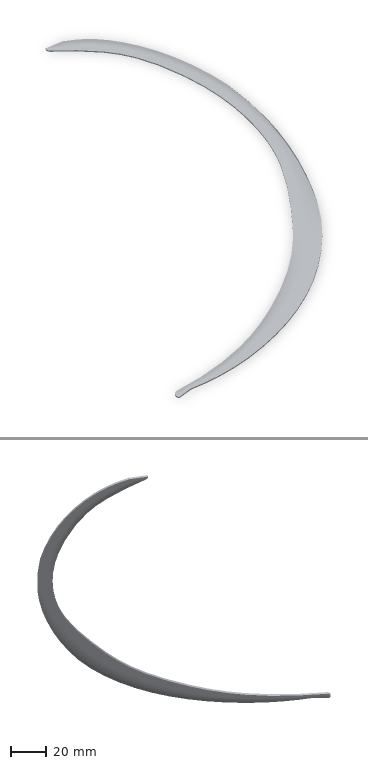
import cadquery as cq

length = 250.8
width = 136.7
thickness = 1.13

left_tip_outer = (0, 43.1)
left_shoulder = (0, 54.0)
left_tip_inner = (2.5, 44.5)
left_tip_end = (1.3, 43.1)

right_neck = (248.5, 10.0)
right_tip_outer = (length, 1.5)
right_tip_end = (248.7, 0)
right_tip_inner = (246.2, 2.3)

crown_start = (69.5, 124.0)
crown_end = (166.2, 132.5)
left_flank = [(6.3, 69.7), (22.5, 91.5), (44.0, 109.5), crown_start]
bottom_crown = [(99.8, 133.6), (131.6, width), crown_end]
crown_setback = 1.0
top_crown = [(x, y - crown_setback) for x, y in bottom_crown[:-1]] + [crown_end]
right_flank = [(196.3, 119.4), (220.7, 97.0), (238.7, 65.0), (247.0, 34.0), right_neck]

inner_edge = [
    (242.5, 25.0), (232.7, 53.5), (214.5, 81.2), (190.3, 103.5), (160.2, 118.0), (142.0, 123.9),
    (121.5, 126.6), (100.3, 124.5), (69.5, 114.3), (45.5, 100.0), (25.0, 82.2), (9.5, 59.0),
    left_tip_inner,
]


def crescent_outline(crown, height):
    """Closed crescent wire with the given crown, lying at the given height."""
    return (
        cq.Workplane("XY", origin=(0, 0, height))
        .moveTo(*left_tip_outer)
        .lineTo(*left_shoulder)
        .spline(left_flank, includeCurrent=True)
        .spline(crown, includeCurrent=True)
        .spline(right_flank, includeCurrent=True)
        .lineTo(*right_tip_outer)
        .threePointArc(right_tip_end, right_tip_inner)
        .spline(inner_edge, includeCurrent=True)
        .lineTo(*left_tip_end)
        .close()
        .val()
    )


bottom_outline = crescent_outline(bottom_crown, 0)
top_outline = crescent_outline(top_crown, thickness)
result = cq.Workplane(cq.Solid.makeLoft([bottom_outline, top_outline], True))